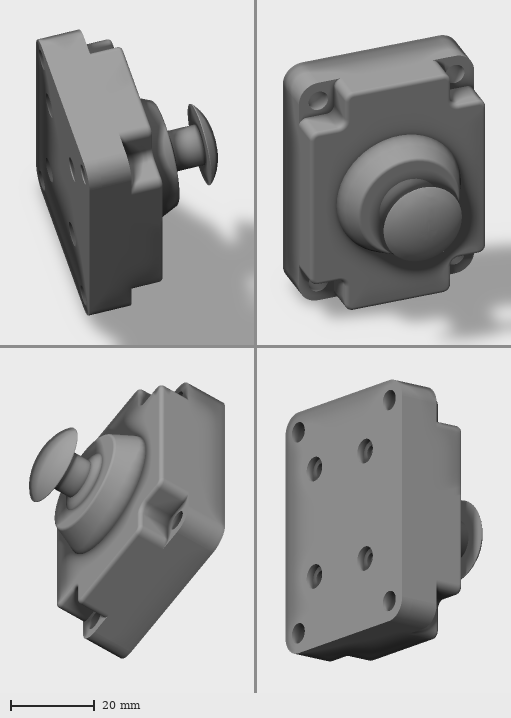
import cadquery as cq
import math

WIDTH = 45.0
HEIGHT = 60.0
TOTAL_DEPTH = 37.8
CORNER_RADIUS = 5.0

PLATE_THICKNESS = 3.1
MOUNT_HOLE_DIAMETER = 5.0
SCREW_HEAD_DIAMETER = 6.0
SCREW_HEAD_DEPTH = 2.0
SCREW_CLEARANCE_DIAMETER = 3.5
SCREW_PITCH_X = 19.5
SCREW_PITCH_Z = 26.75
SCREW_CENTER_X = -1.55
SCREW_CENTER_Z = 1.1

FLANGE_TOP = 10.5
HOUSING_TOP = 18.5
NOTCH_SIZE = 9.0
NOTCH_RADIUS = 2.0
FRONT_EDGE_RADIUS = 0.95
PILOT_HOLE_DIAMETER = 3.2
PILOT_HOLE_DEPTH = 7.2
PILOT_PITCH_X = 19.85
PILOT_SHIFT_Z = -0.1

COLLAR_TOP = 25.45
COLLAR_BASE_RADIUS = 15.95
COLLAR_TOP_RADIUS = 12.85
COLLAR_EDGE_RADIUS = 0.8

SKIRT_RADIUS = 7.7
STEM_RADIUS = 5.0
SKIRT_TOP = 26.9
CAP_BOTTOM = 34.1
CAP_RADIUS = 10.0
CAP_RIM_HEIGHT = 0.2
SKIRT_BULGE = 0.2
CAP_SHOULDER_RADIUS = 7.2
CAP_SHOULDER_DROP = 1.45
CAP_RIM_SLOPE = 50.0


def xz_plane(y):
    """Work plane at the given Y, facing +Y, with local (x, y) = (-X, Z)."""
    return cq.Workplane(cq.Plane(origin=(0, y, 0), xDir=(-1, 0, 0), normal=(0, 1, 0)))


def grid_points(pitch_x, pitch_z, center_x=0.0, center_z=0.0):
    """Four rectangle corners as (X, Z), in the local frame of xz_plane."""
    return [
        (-(center_x + sx * pitch_x / 2), center_z + sz * pitch_z / 2)
        for sx in (-1, 1)
        for sz in (-1, 1)
    ]


MOUNT_POINTS = grid_points(WIDTH - 2 * CORNER_RADIUS, HEIGHT - 2 * CORNER_RADIUS)
SCREW_POINTS = grid_points(SCREW_PITCH_X, SCREW_PITCH_Z, SCREW_CENTER_X, SCREW_CENTER_Z)
PILOT_POINTS = grid_points(
    PILOT_PITCH_X, SCREW_PITCH_Z, SCREW_CENTER_X, SCREW_CENTER_Z + PILOT_SHIFT_Z
)


def rounded_slab(y_start, y_end):
    """Slab with the full outline, round corners and the four mounting holes."""
    depth = y_end - y_start
    slab = xz_plane(y_start).rect(WIDTH, HEIGHT).extrude(depth).edges("|Y").fillet(CORNER_RADIUS)
    return slab.cut(holes(MOUNT_POINTS, MOUNT_HOLE_DIAMETER, y_start, depth))


def holes(points, diameter, y_start, depth):
    """Cylinders to cut, running toward +Y from y_start."""
    return xz_plane(y_start).pushPoints(points).circle(diameter / 2).extrude(depth)


def make_base_plate():
    plate = rounded_slab(0, PLATE_THICKNESS)
    plate = plate.cut(holes(SCREW_POINTS, SCREW_CLEARANCE_DIAMETER, 0, PLATE_THICKNESS))
    return plate.cut(holes(SCREW_POINTS, SCREW_HEAD_DIAMETER, 0, SCREW_HEAD_DEPTH))


def make_cross_block():
    """Cross-shaped front block left between the four corner notches."""
    depth = HOUSING_TOP - FLANGE_TOP
    block = xz_plane(FLANGE_TOP).rect(WIDTH, HEIGHT).extrude(depth)
    notches = (
        xz_plane(FLANGE_TOP)
        .pushPoints(grid_points(WIDTH, HEIGHT))
        .rect(2 * NOTCH_SIZE, 2 * NOTCH_SIZE)
        .extrude(depth)
    )
    block = block.cut(notches).edges("|Y").fillet(NOTCH_RADIUS)
    return block.faces(">Y").edges().fillet(FRONT_EDGE_RADIUS)


def make_collar():
    profile = (
        cq.Workplane("XY")
        .moveTo(0, HOUSING_TOP)
        .lineTo(COLLAR_BASE_RADIUS, HOUSING_TOP)
        .lineTo(COLLAR_TOP_RADIUS, COLLAR_TOP)
        .lineTo(0, COLLAR_TOP)
        .close()
    )
    collar = profile.revolve(360, (0, 0, 0), (0, 1, 0))
    return collar.faces(">Y").edges().fillet(COLLAR_EDGE_RADIUS)


def make_housing():
    housing = rounded_slab(PLATE_THICKNESS, FLANGE_TOP)
    housing = housing.union(make_cross_block()).union(make_collar())
    return housing.cut(holes(PILOT_POINTS, PILOT_HOLE_DIAMETER, PLATE_THICKNESS, PILOT_HOLE_DEPTH))


def make_button():
    """Mushroom button standing on the collar: domed skirt, stem and domed cap."""
    skirt_middle = (
        (COLLAR_TOP + SKIRT_TOP) / 2 + SKIRT_BULGE,
        (SKIRT_RADIUS + STEM_RADIUS) / 2,
    )
    shoulder = (TOTAL_DEPTH - CAP_SHOULDER_DROP, CAP_SHOULDER_RADIUS)
    rim = (CAP_BOTTOM + CAP_RIM_HEIGHT, CAP_RADIUS)
    rim_angle = math.radians(CAP_RIM_SLOPE)
    crown_direction = (0, 1)
    rim_direction = (-math.sin(rim_angle), math.cos(rim_angle))
    profile = (
        cq.Workplane("YZ")
        .moveTo(TOTAL_DEPTH, 0)
        .spline([shoulder, rim], tangents=[crown_direction, rim_direction], includeCurrent=True)
        .lineTo(CAP_BOTTOM, CAP_RADIUS)
        .lineTo(CAP_BOTTOM, STEM_RADIUS)
        .lineTo(SKIRT_TOP, STEM_RADIUS)
        .threePointArc(skirt_middle, (COLLAR_TOP, SKIRT_RADIUS))
        .lineTo(COLLAR_TOP, 0)
        .close()
    )
    return profile.revolve(360, (0, 0, 0), (1, 0, 0))


base_plate = make_base_plate()
housing = make_housing()
button = make_button()

result = cq.Compound.makeCompound([base_plate.val(), housing.val(), button.val()])